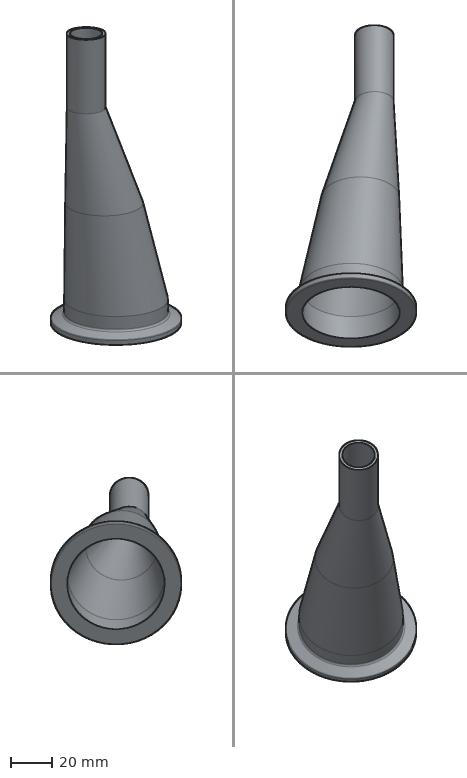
import cadquery as cq
import math


wall = 1.65
base_diameter = 50.8
middle_diameter = 38.1
top_diameter = 19.05

ferrule_height = 12.7
cone_height = 50.8
tube_height = 38.1

flange_diameter = 63.91
rim_height = 2.9
flange_slope = math.radians(20)
rim_edge_radius = 0.4
neck_fillet_radius = 1.2

bore_overrun = 1.0

base_level = ferrule_height
middle_level = base_level + cone_height
tube_level = middle_level + cone_height


def section_center_y(outer_diameter):
    """Y position that puts a section's outer wall on the common -Y line."""
    return (outer_diameter - base_diameter) / 2


def round_prism(outer_diameter, inset, bottom, height):
    """Vertical cylinder, reduced in radius by the inset."""
    return (
        cq.Workplane("XY", origin=(0, section_center_y(outer_diameter), bottom))
        .circle(outer_diameter / 2 - inset)
        .extrude(height)
    )


def oblique_cone(lower_diameter, upper_diameter, inset, bottom):
    """Straight-sided transition between two off-center circles."""
    center_shift = section_center_y(upper_diameter) - section_center_y(lower_diameter)
    return (
        cq.Workplane("XY", origin=(0, section_center_y(lower_diameter), bottom))
        .circle(lower_diameter / 2 - inset)
        .workplane(offset=cone_height)
        .center(0, center_shift)
        .circle(upper_diameter / 2 - inset)
        .loft(ruled=True)
    )


def reducer_shape(inset):
    """Both cones and the top tube, reduced in radius by the inset."""
    lower_cone = oblique_cone(base_diameter, middle_diameter, inset, base_level)
    upper_cone = oblique_cone(middle_diameter, top_diameter, inset, middle_level)
    tube = round_prism(top_diameter, inset, tube_level, tube_height)
    return lower_cone.union(upper_cone).union(tube)


def ferrule_body():
    """Solid ferrule: rim with rounded edges, sloped clamp face and filleted neck."""
    neck_radius = base_diameter / 2
    flange_radius = flange_diameter / 2
    slope_top = rim_height + (flange_radius - neck_radius) * math.tan(flange_slope)
    body = (
        cq.Workplane("XZ")
        .lineTo(flange_radius, 0)
        .lineTo(flange_radius, rim_height)
        .lineTo(neck_radius, slope_top)
        .lineTo(neck_radius, ferrule_height)
        .lineTo(0, ferrule_height)
        .close()
        .revolve(360, (0, 0, 0), (0, 1, 0))
    )
    rim_edges = cq.selectors.RadiusNthSelector(-1)
    neck_foot = cq.selectors.NearestToPointSelector((0, 0, slope_top))
    body = body.edges("%CIRCLE").edges(rim_edges).fillet(rim_edge_radius)
    return body.edges("%CIRCLE").edges(neck_foot).fillet(neck_fillet_radius)


def bore():
    """Full-length passage, following the outer shape one wall thickness in."""
    base_bore = round_prism(base_diameter, wall, -bore_overrun, base_level + bore_overrun)
    top_opening = round_prism(top_diameter, wall, tube_level + tube_height, bore_overrun)
    return base_bore.union(reducer_shape(wall)).union(top_opening)


result = ferrule_body().union(reducer_shape(0)).cut(bore())